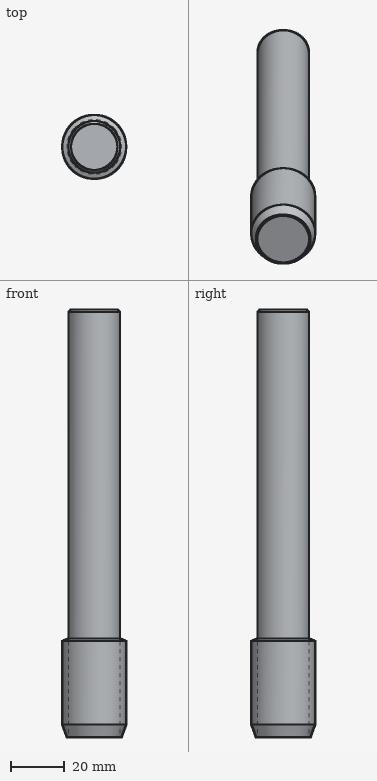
import cadquery as cq

total_height = 160.0
pin_diameter = 19.4
pin_chamfer = 1.04

sleeve_diameter = 24.0
sleeve_height = 37.0
top_bevel_height = 1.0
lead_in_height = 4.8
lead_in_width = 1.8


def make_pin():
    """Plain round pin, chamfered at its top end, running the full height."""
    pin = cq.Workplane("XY").circle(pin_diameter / 2).extrude(total_height)
    return pin.faces(">Z").chamfer(pin_chamfer)


def make_sleeve():
    """Bush around the foot of the pin, tapered below and bevelled down from the pin above."""
    outer_radius = sleeve_diameter / 2
    bore_radius = pin_diameter / 2
    half_section = [
        (bore_radius, 0),
        (outer_radius - lead_in_width, 0),
        (outer_radius, lead_in_height),
        (outer_radius, sleeve_height - top_bevel_height),
        (bore_radius, sleeve_height),
    ]
    section = cq.Workplane("XZ").polyline(half_section).close()
    return section.revolve(360, (0, 0, 0), (0, 1, 0))


pin = make_pin()
sleeve = make_sleeve()

result = cq.Compound.makeCompound([pin.val(), sleeve.val()])